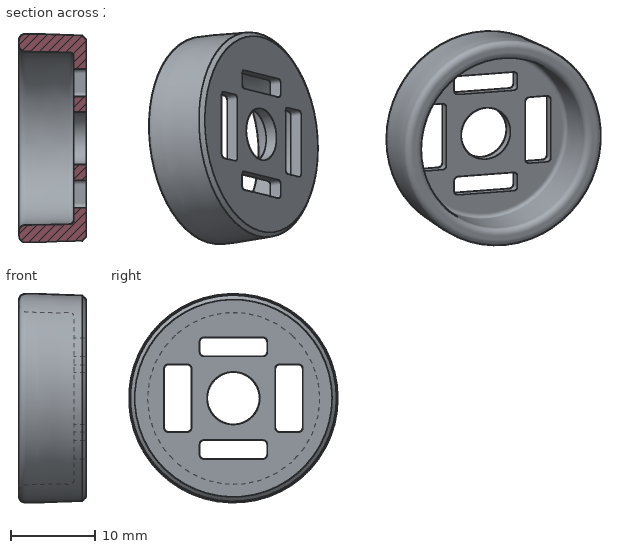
import cadquery as cq
import math

width = 8.0
outer_radius = 12.4
straight_length = 2.4
outer_draft = 2.0
rim_round = 0.8
back_chamfer = 0.5

floor_thickness = 1.5
mouth_radius = 10.3
cavity_draft = 1.0
floor_round = 0.5

bore_diameter = 6.2
slot_length = 7.99
slot_inner_edge = 4.98
side_slot_width = 3.22
end_slot_width = 2.2
slot_corner_radius = 0.5


def wheel_body():
    """Tapered outside with a rounded front edge and a chamfered back edge."""
    taper_drop = (width - straight_length) * math.tan(math.radians(outer_draft))
    profile = (
        cq.Workplane("XY")
        .lineTo(0, outer_radius)
        .lineTo(straight_length, outer_radius)
        .lineTo(width, outer_radius - taper_drop)
        .lineTo(width, 0)
        .close()
    )
    body = profile.revolve(360, (0, 0, 0), (1, 0, 0))
    return body.faces("<X").edges().fillet(rim_round).faces(">X").edges().chamfer(back_chamfer)


def cavity():
    """Drafted recess that narrows toward a floor with a rounded corner."""
    depth = width - floor_thickness
    floor_radius = mouth_radius - depth * math.tan(math.radians(cavity_draft))
    profile = (
        cq.Workplane("XY")
        .lineTo(0, mouth_radius)
        .lineTo(depth, floor_radius)
        .lineTo(depth, 0)
        .close()
    )
    recess = profile.revolve(360, (0, 0, 0), (1, 0, 0))
    return recess.faces(">X").edges().fillet(floor_round)


def slot(y_size, z_size, y_center, z_center):
    """Rounded rectangular cutter running along X."""
    cutter = cq.Workplane("YZ").center(y_center, z_center).rect(y_size, z_size).extrude(width)
    return cutter.edges("|X").fillet(slot_corner_radius)


result = wheel_body().cut(cavity())

result = result.faces("<X").edges(cq.selectors.RadiusNthSelector(0)).fillet(rim_round)

result = result.cut(cq.Workplane("YZ").circle(bore_diameter / 2).extrude(width))

side_slot_center = slot_inner_edge + side_slot_width / 2
end_slot_center = slot_inner_edge + end_slot_width / 2
for direction in (-1, 1):
    result = result.cut(slot(side_slot_width, slot_length, direction * side_slot_center, 0))
    result = result.cut(slot(slot_length, end_slot_width, 0, direction * end_slot_center))